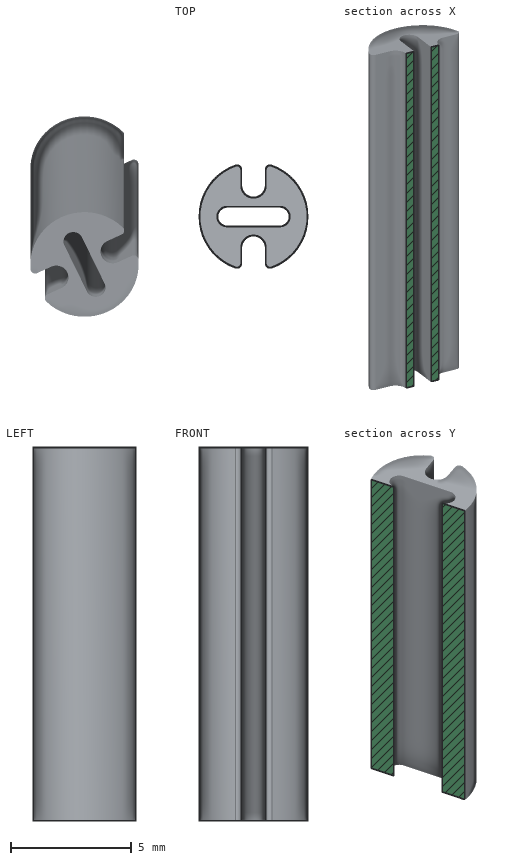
import cadquery as cq

length = 15.5
diameter = 4.5
groove_width = 1.0
groove_floor_offset = 0.79
groove_lip_radius = 0.19
slot_length = 2.99
slot_width = 0.8

radius = diameter / 2
groove_radius = groove_width / 2
groove_center_offset = groove_floor_offset + groove_radius


def groove_cutter(side):
    """Round-bottomed groove, open to the rim on the +Y (1) or -Y (-1) side."""
    floor = (
        cq.Workplane("XY")
        .center(0, side * groove_center_offset)
        .circle(groove_radius)
        .extrude(length)
    )
    opening = (
        cq.Workplane("XY")
        .center(0, side * (groove_center_offset + radius / 2))
        .rect(groove_width, radius)
        .extrude(length)
    )
    return floor.union(opening)


body = cq.Workplane("XY").circle(radius).extrude(length)
for side in (1, -1):
    body = body.cut(groove_cutter(side))

lip_zone_start = groove_center_offset + groove_radius
for side in (1, -1):
    lip_edges = cq.selectors.BoxSelector(
        (-diameter, side * lip_zone_start, 0),
        (diameter, side * diameter, length),
    )
    body = body.edges("|Z").edges(lip_edges).fillet(groove_lip_radius)

slot = cq.Workplane("XY").slot2D(slot_length, slot_width).extrude(length)

result = body.cut(slot)